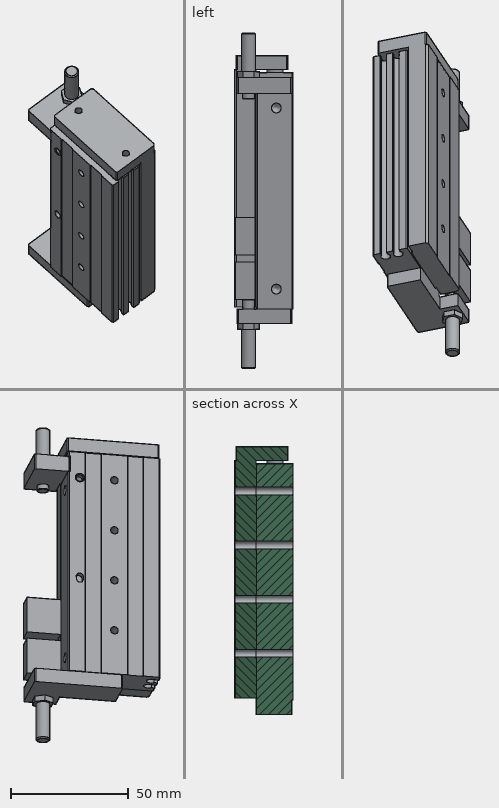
import cadquery as cq
import math


body_left = 14.5
body_right = 54.5
mid_x = (body_left + body_right) / 2

housing_bottom = 25.2
housing_top = 125.5
housing_height = housing_top - housing_bottom
housing_depth = 15.7
housing_chamfer = 0.5
face_groove_depth = 0.3
face_groove_near = 5.5
face_groove_far = 12.7

sensor_groove_dia = 4.1
sensor_neck_width = 2.8
sensor_groove_inset = 3.0
sensor_groove_pitch = 5.7
sensor_groove_mid_y = 7.7

mount_hole_dia = 3.3
mount_hole_pitch = 23.0
mount_hole_count = 4
lowest_mount_z = 45.2
locating_x = 19.5
locating_dia = 3.0
locating_chamfer = 0.4
locating_slot_width = 3.0
locating_slot_length = 4.1
locating_depth = 2.8
port_dia = 4.1
port_depth = 4.3
port_y = 7.1
port_heights = (33.8, 110.6)
drill_tip_angle = 118

mount_front = 0.5
mount_back = 23.8
mount_chamfer = 0.5
lower_plate_bottom = 19.1
lower_plate_right = 38.2
bracket_bottom = 116.7
bracket_top = 123.5
bracket_seat_depth = 0.9
table_clearance = 0.5
screw_x = 7.4
screw_y = 19.0
screw_dia = 6.0
screw_tip_chamfer = 0.5
stud_dia = 5.0
stud_chamfer = 0.3
nut_across_flats = 8.0
nut_thickness = 2.4
lower_screw_end = 0
upper_screw_end = 142.5
upper_stud_length = 2.3

table_bottom = 26.1
table_top = 126.8
table_front = 16.2
table_back = 25.0
table_chamfer = 1.0
land_half_width = 14.75
back_groove_half_width = 7.7
back_groove_depth = 0.3

block_height = 16.0
block_back = 24.4
block_overlap = 1.4
lower_block_bottom = 29.4
block_pitch = 18.8
block_count = 2

end_plate_front = 2.3
end_plate_back = 24.2
end_plate_top = 132.8
end_plate_chamfer = 0.5
end_hole_dia = 3.0
end_hole_spacing = 29.9
end_hole_y = 12.0
rod_dia = 7.0
rod_spacing = 16.0
rod_y = 7.7


def box(x0, x1, y0, y1, z0, z1):
    """Solid block between two opposite corners."""
    return cq.Workplane("XY").box(x1 - x0, y1 - y0, z1 - z0, centered=False).translate((x0, y0, z0))


def cylinder(diameter, x, y, z0, z1):
    """Upright cylinder."""
    return cq.Workplane("XY").circle(diameter / 2).extrude(z1 - z0).translate((x, y, z0))


def drilled_hole(diameter, depth):
    """Blind hole tool along +Z from the origin, ending in a drill tip."""
    radius = diameter / 2
    tip = radius / math.tan(math.radians(drill_tip_angle / 2))
    profile = [(0, 0), (radius, 0), (radius, depth), (0, depth + tip)]
    return cq.Workplane("XZ").polyline(profile).close().revolve(360, (0, 0), (0, 1))


def mounting_holes():
    """Row of through holes along the middle plane."""
    points = [(mid_x, lowest_mount_z + i * mount_hole_pitch) for i in range(mount_hole_count)]
    return cq.Workplane("XZ").pushPoints(points).circle(mount_hole_dia / 2).extrude(-table_back)


def locating_holes():
    """Drilled locating hole and slot, level with the top and the second lowest mounting hole."""
    slot_z = lowest_mount_z + mount_hole_pitch
    hole_z = lowest_mount_z + (mount_hole_count - 1) * mount_hole_pitch
    hole = drilled_hole(locating_dia, locating_depth)
    mouth_radius = locating_dia / 2 + locating_chamfer
    mouth = cq.Workplane(cq.Solid.makeCone(mouth_radius, locating_dia / 2, locating_chamfer))
    hole = hole.union(mouth).rotate((0, 0, 0), (1, 0, 0), -90)
    slot = (
        cq.Workplane("XZ")
        .slot2D(locating_slot_length, locating_slot_width, 90)
        .extrude(-locating_depth)
    )
    return hole.translate((locating_x, 0, hole_z)).union(slot.translate((locating_x, 0, slot_z)))


def ports():
    """Drilled air ports in the left side."""
    port = drilled_hole(port_dia, port_depth).rotate((0, 0, 0), (0, 1, 0), 90)
    lower_z, upper_z = port_heights
    lower_port = port.translate((body_left, port_y, lower_z))
    return lower_port.union(port.translate((body_left, port_y, upper_z)))


def face_groove(side):
    """Shallow front groove with 45 degree walls; side is -1 for left of the middle, +1 for right."""
    outline = [
        (mid_x + side * face_groove_near, 0),
        (mid_x + side * face_groove_far, 0),
        (mid_x + side * (face_groove_far - face_groove_depth), face_groove_depth),
        (mid_x + side * (face_groove_near + face_groove_depth), face_groove_depth),
    ]
    groove = cq.Workplane("XY").polyline(outline).close().extrude(housing_height)
    return groove.translate((0, 0, housing_bottom))


def sensor_groove(y):
    """Round groove with a narrow neck, open to the right side."""
    x = body_right - sensor_groove_inset
    half_neck = sensor_neck_width / 2
    bore = cylinder(sensor_groove_dia, x, y, housing_bottom, housing_top)
    neck = box(x, body_right, y - half_neck, y + half_neck, housing_bottom, housing_top)
    return bore.union(neck)


def adjuster(mount_low, mount_high, stud_length, screw_end, direction):
    """Stud, nut and screw through a mount; direction is +1 for a screw pointing up, -1 for down."""
    thickness = mount_high - mount_low
    nut_corner_dia = nut_across_flats / math.cos(math.pi / 6)
    stud_end = mount_low if direction > 0 else mount_high
    screw_length = abs(screw_end - stud_end)
    screw = cq.Workplane("XY").circle(screw_dia / 2).extrude(screw_length)
    screw = screw.faces(">Z").chamfer(screw_tip_chamfer)
    nut = (
        cq.Workplane("XY")
        .polygon(6, nut_corner_dia)
        .extrude(nut_thickness)
        .rotate((0, 0, 0), (0, 0, 1), 30)
        .translate((0, 0, thickness))
    )
    stud = cq.Workplane("XY").circle(stud_dia / 2).extrude(-stud_length)
    stud = stud.faces("<Z").chamfer(stud_chamfer)
    unit = screw.union(nut).union(stud)
    if direction < 0:
        unit = unit.rotate((0, 0, 0), (1, 0, 0), 180)
    return unit.translate((screw_x, screw_y, stud_end))


def adjuster_mount(right, bottom, top):
    """Plate carrying a stroke adjuster, stepped back behind the housing to clear the table."""
    mount = box(0, right, mount_front, mount_back, bottom, top)
    mount = mount.edges("|Z").chamfer(mount_chamfer)
    clear_x = body_left - table_clearance
    return mount.cut(box(clear_x, right, housing_depth, mount_back, bottom, top))


def make_housing():
    """Housing block with its grooves, holes and both stroke adjusters."""
    housing = box(body_left, body_right, 0, housing_depth, housing_bottom, housing_top)
    housing = housing.edges("|Z").chamfer(housing_chamfer)

    for side in (-1, 1):
        housing = housing.cut(face_groove(side))
        groove_y = sensor_groove_mid_y + side * sensor_groove_pitch / 2
        housing = housing.cut(sensor_groove(groove_y))

    housing = housing.cut(mounting_holes()).cut(locating_holes()).cut(ports())

    seat_x = body_left + bracket_seat_depth
    housing = housing.cut(box(body_left, seat_x, 0, housing_depth, bracket_bottom, bracket_top))
    housing = housing.union(adjuster_mount(seat_x, bracket_bottom, bracket_top))
    housing = housing.union(adjuster_mount(lower_plate_right, lower_plate_bottom, housing_bottom))

    upper = adjuster(bracket_bottom, bracket_top, upper_stud_length, upper_screw_end, 1)
    lower_stud_length = lower_block_bottom - housing_bottom
    lower = adjuster(lower_plate_bottom, housing_bottom, lower_stud_length, lower_screw_end, -1)
    return housing.union(upper).union(lower)


def make_table():
    """Sliding table with its land, stop blocks, end plate and piston rods."""
    table = box(body_left, body_right, table_front, table_back, table_bottom, table_top)
    table = table.edges("|Z and >Y").chamfer(table_chamfer)
    land = box(mid_x - land_half_width, mid_x + land_half_width,
               housing_depth, table_front, table_bottom, table_top)
    table = table.union(land)
    table = table.cut(box(mid_x - back_groove_half_width, mid_x + back_groove_half_width,
                          table_back - back_groove_depth, table_back, table_bottom, table_top))

    for i in range(block_count):
        z = lower_block_bottom + i * block_pitch
        block = box(0, body_left + block_overlap, table_front, block_back, z, z + block_height)
        table = table.union(block)

    table = table.cut(mounting_holes())

    plate = box(body_left, body_right, end_plate_front, end_plate_back, table_top, end_plate_top)
    plate = plate.edges("|Z").chamfer(end_plate_chamfer)
    for side in (-1, 1):
        hole_x = mid_x + side * end_hole_spacing / 2
        plate = plate.cut(cylinder(end_hole_dia, hole_x, end_hole_y, table_top, end_plate_top))
        rod_x = mid_x + side * rod_spacing / 2
        plate = plate.union(cylinder(rod_dia, rod_x, rod_y, housing_top, table_top))
    return table.union(plate)


housing = make_housing()
table = make_table()
result = cq.Compound.makeCompound([housing.solids().val(), table.solids().val()])